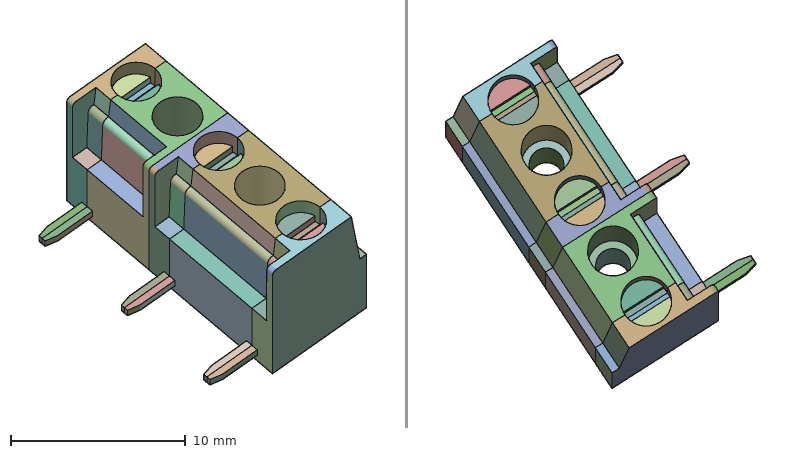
import cadquery as cq

length = 17.5
depth = 7.3
height = 9.1
front_edge_radius = 0.3

step_height = 4.8
slope_foot_y = 6.79
slope_top_y = 6.12

pitch = 7.0
first_pole_x = 1.75
pole_count = 3
pole_xs = [first_pole_x + i * pitch for i in range(pole_count)]
bore_xs = [x + pitch / 2 for x in pole_xs[:-1]]
block_seam_x = pole_xs[1] - first_pole_x
hole_y = 3.82

well_diameter = 2.9
well_depth = 1.05
slot_width = 0.7
slot_depth = 0.5

bore_diameter = 2.0
bore_shoulder_z = height / 2

wall = 0.5
recess_floor_z = 4.3
recess_top_y = 1.82
bead_ledge_y = 1.66
bead_top_y = 1.6
bead_top_z = 7.7
bead_radius = 0.38
recess_foot_y = 1.1

pin_length = 3.5
pin_taper_length = 0.82
pin_width = 0.91
pin_tip_width = 0.52
pin_bottom_z = 0.5
pin_thickness = 0.49


def extrude_along_x(profile, left, right):
    """Extrude a closed YZ profile from X = left to X = right."""
    return profile.extrude(right - left).translate((left, 0, 0))


def housing_slab(left, right):
    """Solid housing length with the stepped, sloped rear and rounded front edge."""
    profile = (
        cq.Workplane("YZ")
        .moveTo(0, 0)
        .lineTo(depth, 0)
        .lineTo(depth, step_height)
        .lineTo(slope_foot_y, step_height)
        .lineTo(slope_top_y, height)
        .lineTo(front_edge_radius, height)
        .radiusArc((0, height - front_edge_radius), -front_edge_radius)
        .close()
    )
    return extrude_along_x(profile, left, right)


def front_recess(left, right):
    """Volume removed from the front, leaving a beaded rear wall."""
    profile = (
        cq.Workplane("YZ")
        .moveTo(0, recess_floor_z)
        .lineTo(recess_foot_y, recess_floor_z)
        .lineTo(bead_top_y - bead_radius, bead_top_z - bead_radius)
        .radiusArc((bead_top_y, bead_top_z), bead_radius)
        .lineTo(bead_ledge_y, bead_top_z)
        .lineTo(recess_top_y, height)
        .lineTo(0, height)
        .close()
    )
    return extrude_along_x(profile, left, right)


def cylinder(x, diameter, bottom, top):
    """Vertical cylinder on the row of holes."""
    return cq.Workplane("XY", origin=(x, hole_y, bottom)).circle(diameter / 2).extrude(top - bottom)


def screw_well(x):
    """Volume removed above a screw head, including the driver slot across it."""
    floor_z = height - well_depth
    slot_z = floor_z - slot_depth
    well = cylinder(x, well_diameter, floor_z, height)
    slot_bar = (
        cq.Workplane("XY", origin=(x, hole_y, slot_z))
        .rect(slot_width, well_diameter)
        .extrude(slot_depth)
    )
    slot = slot_bar.intersect(cylinder(x, well_diameter, slot_z, floor_z))
    return well.union(slot)


def stepped_bore(x):
    """Volume of a through bore, wide above its shoulder."""
    narrow = cylinder(x, bore_diameter, 0, height)
    wide = cylinder(x, well_diameter, bore_shoulder_z, height)
    return narrow.union(wide)


def solder_pin(x):
    """Flat pin with a tapered tip, standing out of the front face."""
    half_width = pin_width / 2
    half_tip = pin_tip_width / 2
    taper_y = pin_taper_length - pin_length
    return (
        cq.Workplane("XY", origin=(x, 0, pin_bottom_z))
        .polyline([
            (-half_width, 0),
            (-half_width, taper_y),
            (-half_tip, -pin_length),
            (half_tip, -pin_length),
            (half_width, taper_y),
            (half_width, 0),
        ])
        .close()
        .extrude(pin_thickness)
    )


def section(left, right, recess_left, recess_right, poles, bores):
    """Housing length between two seams, with the part of each pole that lies inside it."""
    body = housing_slab(left, right).cut(front_recess(recess_left, recess_right))
    for x in bores:
        body = body.cut(stepped_bore(x))
    pin_zone = cq.Workplane("XY").box(right - left, pin_length, height, centered=False)
    pin_zone = pin_zone.translate((left, -pin_length, 0))
    for x in poles:
        body = body.cut(screw_well(x))
        body = body.union(solder_pin(x).intersect(pin_zone))
    return body


def end_section():
    """End piece at the left: an outer wall and half of the first pole."""
    return section(0, first_pole_x, wall, first_pole_x, pole_xs[:1], [])


left_ends = [end_section().translate((x, 0, 0)) for x in (0, block_seam_x)]
right_end = end_section().mirror("YZ").translate((length, 0, 0))

walled_span = section(
    first_pole_x, block_seam_x, first_pole_x, block_seam_x - wall, pole_xs[:1], bore_xs[:1]
)

open_span = section(pole_xs[1], pole_xs[2], pole_xs[1], pole_xs[2], pole_xs[1:], bore_xs[1:])

result = cq.Compound.makeCompound(
    [end.val() for end in left_ends] + [right_end.val(), walled_span.val(), open_span.val()]
)